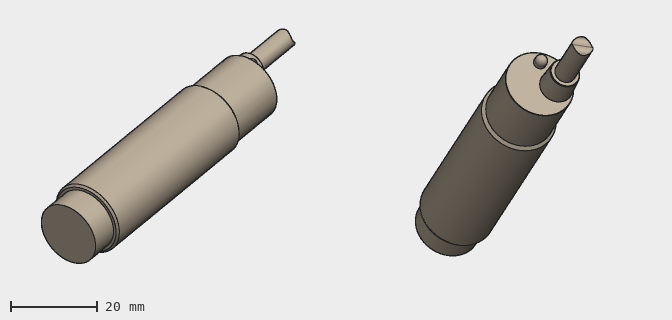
import cadquery as cq

total_length = 90.7

nose_diameter = 15.5
nose_length = 7.0
body_diameter = 18.0
body_front_chamfer = 0.5
body_end = 55.0
rear_diameter = 16.5
rear_end = 70.1
rear_edge_chamfer = 0.1
body_rear_chamfer = (body_diameter - rear_diameter) / 2

cable_x = -4.0
cable_diameter = 5.0
relief_base_diameter = 8.0
relief_tip_diameter = 7.2
relief_end = 76.9
relief_edge_chamfer = 0.2
break_depth = 0.59

lamp_diameter = 3.0
lamp_z = 5.5
lamp_straight_length = 1.1


def revolve_about_y(outline):
    """Revolve a (radius, Y) outline, drawn from axis to axis, about the Y axis."""
    return outline.close().revolve(360, (0, 0, 0), (0, 1, 0))


def make_housing():
    body_radius = body_diameter / 2
    rear_radius = rear_diameter / 2
    points = [
        (0, 0),
        (nose_diameter / 2, 0),
        (nose_diameter / 2, nose_length),
        (body_radius - body_front_chamfer, nose_length),
        (body_radius, nose_length + body_front_chamfer),
        (body_radius, body_end - body_rear_chamfer),
        (rear_radius, body_end),
        (rear_radius, rear_end - rear_edge_chamfer),
        (rear_radius - rear_edge_chamfer, rear_end),
        (0, rear_end),
    ]
    return revolve_about_y(cq.Workplane("XY").polyline(points))


def make_strain_relief():
    tip_radius = relief_tip_diameter / 2
    points = [
        (0, rear_end),
        (relief_base_diameter / 2, rear_end),
        (tip_radius, relief_end - relief_edge_chamfer),
        (tip_radius - relief_edge_chamfer, relief_end),
        (0, relief_end),
    ]
    return revolve_about_y(cq.Workplane("XY").polyline(points)).translate((cable_x, 0, 0))


def make_cable():
    """Round cable whose end is cut to an S-shaped break line in the YZ plane."""
    radius = cable_diameter / 2
    break_middle = total_length - break_depth
    side_profile = (
        cq.Workplane("YZ")
        .moveTo(relief_end, -radius)
        .lineTo(break_middle, -radius)
        .threePointArc((total_length, -radius / 2), (break_middle, 0))
        .threePointArc((break_middle - break_depth, radius / 2), (break_middle, radius))
        .lineTo(relief_end, radius)
        .close()
        .extrude(radius, both=True)
    )
    rod = revolve_about_y(
        cq.Workplane("XY").polyline(
            [(0, relief_end), (radius, relief_end), (radius, total_length), (0, total_length)]
        )
    )
    return rod.intersect(side_profile).translate((cable_x, 0, 0))


def make_lamp():
    radius = lamp_diameter / 2
    dome_base = rear_end + lamp_straight_length
    dome_mid = radius * 0.5**0.5
    outline = (
        cq.Workplane("XY")
        .moveTo(0, rear_end)
        .lineTo(radius, rear_end)
        .lineTo(radius, dome_base)
        .threePointArc((dome_mid, dome_base + dome_mid), (0, dome_base + radius))
    )
    return revolve_about_y(outline).translate((0, 0, lamp_z))


result = make_housing().union(make_strain_relief()).union(make_cable()).union(make_lamp())